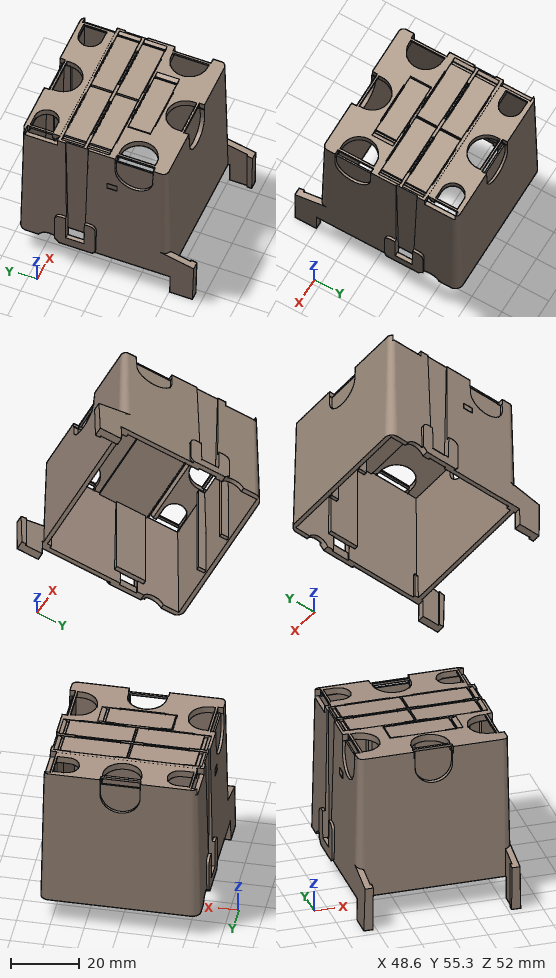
import cadquery as cq
import math

OVERALL_WIDTH = 48.6
OVERALL_DEPTH = 55.3
HEIGHT = 45.05
TOP_SIDE = 45.55
TOP_CORNER = 1.65
DRAFT = math.tan(math.radians(1.2))
WALL = 1.35
PLATE = 2.1
ROW_PLATE = 2.95
ROW_PLATE_BACK = 11.05
ROW_PLATE_FRONT = -5.0

RIB_INNER = 6.05
RIB_THICKNESS = 1.0
RIB_FRONT = 19.5

LEG_BACK = 24.2
LEG_DROP = 6.95
LEG_ROOT_Z = 9.6
LEG_TIP_Z = 7.0
LEG_INNER = 21.6
LIP_INNER = 21.1
LIP_DEPTH = 1.8

CLIP_Y = 5.55
CLIP_WIDTH = 12.9
CLIP_TOP = 12.1
CLIP_BOTTOM = -0.3
CLIP_RADIUS = 2.0
GROOVE_FLOOR = 22.4
GROOVE_TOP_WIDTH = 7.15
GROOVE_BOTTOM_WIDTH = 5.7
GROOVE_BACKING = 21.0
BACKING_WIDTH = 9.8
WINDOW_TOP = 5.8
STRAP_TOP = 3.25
STRAP_INNER = 22.9

ENTRY_RADIUS = 5.7
ENTRY_Z = 39.95
RECESS_RADIUS = 5.9
RECESS_DEPTH = 0.85
NOTCH_WIDTH = 11.95
NOTCH_INNER = 21.15
BAR_INNER = 20.4
BAR_HEIGHT = 0.7
ENTRY_DEPTH = 6.85
SIDE_ENTRY_Y = -12.5

SMALL_ENTRY_Y = 17.6
SMALL_ENTRY_WIDTH = 7.3
SMALL_ENTRY_DEPTH = 7.15
SMALL_ENTRY_EDGE = 20.25
SMALL_NOTCH_BACK = 21.85
SMALL_NOTCH_FRONT = 11.7
SMALL_NOTCH_INNER = 20.9
VEE_BACK = 12.85
VEE_HEIGHT = 1.75

LABEL_LENGTH = 19.7
LABEL_WIDTH = 7.0
LABEL_THICKNESS = 0.8
LABEL_SINK = 0.15
LABEL_PITCH = 8.0
BACK_ROW_Y = 7.2
ROW_Y = (BACK_ROW_Y, BACK_ROW_Y - LABEL_PITCH)
SINGLE_Y = BACK_ROW_Y - 2 * LABEL_PITCH
ROW_LABEL_X = (-10.0, 10.3)
ROW_FLOOR_HALF = 20.9
ROW_RAMP = 1.05
SINGLE_FLOOR_LEFT = -10.25
SINGLE_FLOOR_RIGHT = 10.6
SINGLE_RAMP = 1.4
RAMP_START = 0.5
RELIEF_LENGTH = 13.5
RELIEF_WIDTH = 0.3

ARCH_Y = 13.9
ARCH_RADIUS = 3.65
ARCH_HEIGHT = 2.05
MARK_Y = -5.65
MARK_Z = 31.85
MARK_WIDTH = 3.15
MARK_HEIGHT = 2.05
MARK_DEPTH = 0.1

SPREAD = HEIGHT * DRAFT
TOP_HALF = TOP_SIDE / 2
RIM_HALF = TOP_HALF + SPREAD
LEG_REACH = OVERALL_DEPTH - RIM_HALF
PLATE_Z = HEIGHT - PLATE
BAR_Z = HEIGHT - BAR_HEIGHT
LABEL_PLACES = [(x, y) for y in ROW_Y for x in ROW_LABEL_X] + [(0, SINGLE_Y)]
FLOOR_Z = HEIGHT - LABEL_SINK - LABEL_THICKNESS
OUTSIDE_MARGIN = 2.75
RIM_OUTSIDE = RIM_HALF + OUTSIDE_MARGIN


def box(x_range, y_range, z_range):
    """Box between the given limits."""
    limits = (x_range, y_range, z_range)
    size = [high - low for low, high in limits]
    low_corner = cq.Vector(*[low for low, high in limits])
    return cq.Workplane(cq.Solid.makeBox(*size, low_corner))


def mirrored(body):
    """The body together with its mirror image on the other side of x = 0."""
    return body.union(body.mirror("YZ"))


def prism_along_x(points, x_low, x_high):
    """Prism along X over a polygon of (y, z) points."""
    return cq.Workplane("YZ", origin=(x_low, 0, 0)).polyline(points).close().extrude(x_high - x_low)


def prism_along_y(points, half_length):
    """Prism along Y, centred on y = 0, over a polygon of (x, z) points."""
    return cq.Workplane("XZ").polyline(points).close().extrude(half_length, both=True)


def drafted_block(rim, top, top_z):
    """Block that narrows evenly from its outline at the rim to the one at top_z."""
    return cq.Workplane().placeSketch(rim, top.moved(cq.Location(cq.Vector(0, 0, top_z)))).loft()


def square(half):
    return cq.Sketch().rect(2 * half, 2 * half)


def hollow_shell():
    """Drafted square block, round at the corners, with a square cavity open at the rim."""
    rim = square(RIM_HALF).vertices().fillet(TOP_CORNER + SPREAD)
    top = square(TOP_HALF).vertices().fillet(TOP_CORNER)
    inner_rim = RIM_HALF - WALL
    cavity = drafted_block(square(inner_rim), square(inner_rim - PLATE_Z * DRAFT), PLATE_Z)
    row_plate = box((-LEG_INNER, LEG_INNER), (ROW_PLATE_FRONT, ROW_PLATE_BACK),
                    (HEIGHT - ROW_PLATE, PLATE_Z))
    return drafted_block(rim, top, HEIGHT).cut(cavity).union(row_plate)


def back_ribs():
    """Upright ribs on the back wall, one on each side of the knock-out."""
    rib = box((RIB_INNER, RIB_INNER + RIB_THICKNESS), (RIB_FRONT, TOP_HALF - RECESS_DEPTH), (0, PLATE_Z))
    return mirrored(rib)


def legs():
    """Two side legs; their outer faces continue the drafted side walls."""
    wall_line = TOP_HALF - TOP_CORNER
    foot_reach = LEG_REACH - (LEG_TIP_Z + LEG_DROP) * DRAFT
    profile = [
        (-wall_line, 0),
        (-wall_line, LEG_ROOT_Z),
        (-LEG_REACH, LEG_TIP_Z),
        (-foot_reach, -LEG_DROP),
        (-LEG_BACK, -LEG_DROP),
        (-LEG_BACK, 0),
    ]
    lip_zone = box((LIP_INNER, RIM_OUTSIDE), (-LEG_REACH, LIP_DEPTH - LEG_REACH), (-LEG_DROP, HEIGHT))
    plate = prism_along_x(profile, LEG_INNER, RIM_OUTSIDE)
    lip = prism_along_x(profile, LIP_INNER, RIM_OUTSIDE).intersect(lip_zone)
    foot_half = RIM_HALF + LEG_DROP * DRAFT
    between_walls = prism_along_y(
        [(-TOP_HALF, HEIGHT), (TOP_HALF, HEIGHT), (foot_half, -LEG_DROP), (-foot_half, -LEG_DROP)],
        LEG_REACH,
    )
    return mirrored(plate.union(lip).intersect(between_walls))


def clip_pads():
    height = CLIP_TOP - CLIP_BOTTOM
    pad = (
        cq.Workplane("YZ", origin=(STRAP_INNER, CLIP_Y, (CLIP_TOP + CLIP_BOTTOM) / 2))
        .rect(CLIP_WIDTH, height)
        .extrude(OVERALL_WIDTH / 2 - STRAP_INNER)
        .edges("|X")
        .fillet(CLIP_RADIUS)
    )
    above_rim = box((0, RIM_OUTSIDE), (-RIM_HALF, RIM_HALF), (0, HEIGHT))
    return mirrored(pad.intersect(above_rim))


def groove_backings():
    """Thickening of the side walls behind the grooves."""
    backing = box((GROOVE_BACKING, GROOVE_FLOOR),
                  (CLIP_Y - BACKING_WIDTH / 2, CLIP_Y + BACKING_WIDTH / 2), (WINDOW_TOP, PLATE_Z))
    return mirrored(backing)


def side_grooves():
    """Tapering upright grooves, open at the top, that end on the clip straps."""
    def half_width(z):
        lower = GROOVE_BOTTOM_WIDTH / 2
        return lower + (GROOVE_TOP_WIDTH / 2 - lower) * (z - STRAP_TOP) / (HEIGHT - STRAP_TOP)

    groove = prism_along_x(
        [
            (CLIP_Y - half_width(STRAP_TOP), STRAP_TOP),
            (CLIP_Y + half_width(STRAP_TOP), STRAP_TOP),
            (CLIP_Y + half_width(HEIGHT), HEIGHT),
            (CLIP_Y - half_width(HEIGHT), HEIGHT),
        ],
        GROOVE_FLOOR,
        RIM_OUTSIDE,
    )
    window = box((LEG_INNER - WALL, STRAP_INNER),
                 (CLIP_Y - GROOVE_BOTTOM_WIDTH / 2, CLIP_Y + GROOVE_BOTTOM_WIDTH / 2), (0, WINDOW_TOP))
    return mirrored(groove.union(window))


def dome_cutter(radius, y_low, y_high):
    """Upright opening with a round lower end, from ENTRY_Z - radius up to the sill."""
    return (
        cq.Workplane("XZ", origin=(0, y_high, 0))
        .moveTo(-radius, PLATE_Z)
        .lineTo(-radius, ENTRY_Z)
        .threePointArc((0, ENTRY_Z - radius), (radius, ENTRY_Z))
        .lineTo(radius, PLATE_Z)
        .close()
        .extrude(y_high - y_low)
    )


def plate_hole(radius, edge, depth):
    """Hole through the top plate: straight along its front edge, round at its far end."""
    straight_end = depth - radius - edge
    return (
        cq.Workplane("XY", origin=(0, 0, PLATE_Z))
        .moveTo(-radius, -edge)
        .lineTo(-radius, straight_end)
        .threePointArc((0, straight_end + radius), (radius, straight_end))
        .lineTo(radius, -edge)
        .close()
        .extrude(PLATE)
    )


def plate_entry():
    """Edge notch and round hole in the top plate, with a low bar left between them."""
    hole = plate_hole(ENTRY_RADIUS, BAR_INNER, ENTRY_DEPTH)
    notch = box((-NOTCH_WIDTH / 2, NOTCH_WIDTH / 2), (-RIM_OUTSIDE, -NOTCH_INNER), (PLATE_Z, HEIGHT))
    below_bar = box((-ENTRY_RADIUS, ENTRY_RADIUS), (-NOTCH_INNER, -BAR_INNER), (PLATE_Z, BAR_Z))
    return hole.union(notch).union(below_bar)


def wall_recess():
    """Round-ended knock-out recess whose floor follows the draft of the wall."""
    floor_top = TOP_HALF - RECESS_DEPTH
    floor_rim = RIM_HALF - RECESS_DEPTH
    outside = prism_along_x(
        [(-floor_rim, 0), (-floor_top, HEIGHT), (-RIM_OUTSIDE, HEIGHT), (-RIM_OUTSIDE, 0)],
        -NOTCH_WIDTH,
        NOTCH_WIDTH,
    )
    return dome_cutter(RECESS_RADIUS, -RIM_OUTSIDE, -NOTCH_INNER).intersect(outside)


def turned(cutter, angle):
    return cutter.rotate((0, 0, 0), (0, 0, 1), angle)


def large_entries():
    front = plate_entry().union(dome_cutter(ENTRY_RADIUS, -RIM_OUTSIDE, -NOTCH_INNER))
    closed_entry = plate_entry().union(wall_recess())
    back = turned(closed_entry, 180)
    side = turned(closed_entry, 90).translate((0, SIDE_ENTRY_Y, 0))
    return front.union(back).union(mirrored(side))


def small_entries():
    """Rounded holes near the back corners, with their notches in the side walls."""
    hole_y = (SMALL_ENTRY_Y - SMALL_ENTRY_WIDTH / 2, SMALL_ENTRY_Y + SMALL_ENTRY_WIDTH / 2)
    hole = plate_hole(SMALL_ENTRY_WIDTH / 2, SMALL_ENTRY_EDGE, SMALL_ENTRY_DEPTH)
    hole = turned(hole, 90).translate((0, SMALL_ENTRY_Y, 0))
    below_bar = box((SMALL_ENTRY_EDGE, SMALL_NOTCH_INNER), hole_y, (PLATE_Z, BAR_Z))
    notch = box((SMALL_NOTCH_INNER, RIM_OUTSIDE), (SMALL_NOTCH_FRONT, SMALL_NOTCH_BACK), (PLATE_Z, HEIGHT))
    return mirrored(hole.union(below_bar).union(notch))


def vee_groove():
    return prism_along_x(
        [(SMALL_NOTCH_FRONT, PLATE_Z), (VEE_BACK, PLATE_Z), (SMALL_NOTCH_FRONT, PLATE_Z + VEE_HEIGHT)],
        -SMALL_NOTCH_INNER,
        SMALL_NOTCH_INNER,
    )


def ramp_cutter(x, run, y):
    """Sloping finger ramp that rises from x, over a signed run, to the top face."""
    profile = [(x, HEIGHT), (x, HEIGHT - RAMP_START), (x + run, HEIGHT)]
    return prism_along_y(profile, LABEL_WIDTH / 2).translate((0, y, 0))


def recess_floor(x_low, x_high, y):
    return box((x_low, x_high), (y - LABEL_WIDTH / 2, y + LABEL_WIDTH / 2), (FLOOR_Z, HEIGHT))


def relief(x, y):
    """Narrow slots along both long sides of a label."""
    half_width = LABEL_WIDTH / 2 + RELIEF_WIDTH
    return box((x - RELIEF_LENGTH / 2, x + RELIEF_LENGTH / 2), (y - half_width, y + half_width),
               (FLOOR_Z, HEIGHT))


def label_recesses():
    cutter = recess_floor(SINGLE_FLOOR_LEFT, SINGLE_FLOOR_RIGHT, SINGLE_Y)
    cutter = cutter.union(ramp_cutter(SINGLE_FLOOR_RIGHT, SINGLE_RAMP, SINGLE_Y))
    for y in ROW_Y:
        cutter = cutter.union(recess_floor(-ROW_FLOOR_HALF, ROW_FLOOR_HALF, y))
        cutter = cutter.union(ramp_cutter(ROW_FLOOR_HALF, ROW_RAMP, y))
        cutter = cutter.union(ramp_cutter(-ROW_FLOOR_HALF, -ROW_RAMP, y))
    for x, y in LABEL_PLACES:
        cutter = cutter.union(relief(x, y))
    return cutter


def rim_arch():
    """Round cut through both side walls at the bottom rim."""
    return (
        cq.Workplane("YZ", origin=(0, ARCH_Y, ARCH_HEIGHT - ARCH_RADIUS))
        .circle(ARCH_RADIUS)
        .extrude(RIM_OUTSIDE, both=True)
    )


def wall_mark():
    """Shallow rectangle in the left wall."""
    floor_x = TOP_HALF + (HEIGHT - MARK_Z) * DRAFT - MARK_DEPTH
    return box((-RIM_OUTSIDE, -floor_x), (MARK_Y - MARK_WIDTH / 2, MARK_Y + MARK_WIDTH / 2),
               (MARK_Z - MARK_HEIGHT / 2, MARK_Z + MARK_HEIGHT / 2))


def make_housing():
    housing = hollow_shell().union(back_ribs()).union(legs()).union(clip_pads()).union(groove_backings())
    cutters = (side_grooves, large_entries, small_entries, vee_groove, label_recesses, rim_arch, wall_mark)
    for cutter in cutters:
        housing = housing.cut(cutter())
    return housing


def make_label(x, y):
    """Flat label plate that lies slightly sunk in its recess."""
    return box((x - LABEL_LENGTH / 2, x + LABEL_LENGTH / 2),
               (y - LABEL_WIDTH / 2, y + LABEL_WIDTH / 2), (FLOOR_Z, HEIGHT - LABEL_SINK))


housing = make_housing()
labels = [make_label(x, y) for x, y in LABEL_PLACES]

result = cq.Compound.makeCompound([housing.val(), *[label.val() for label in labels]])